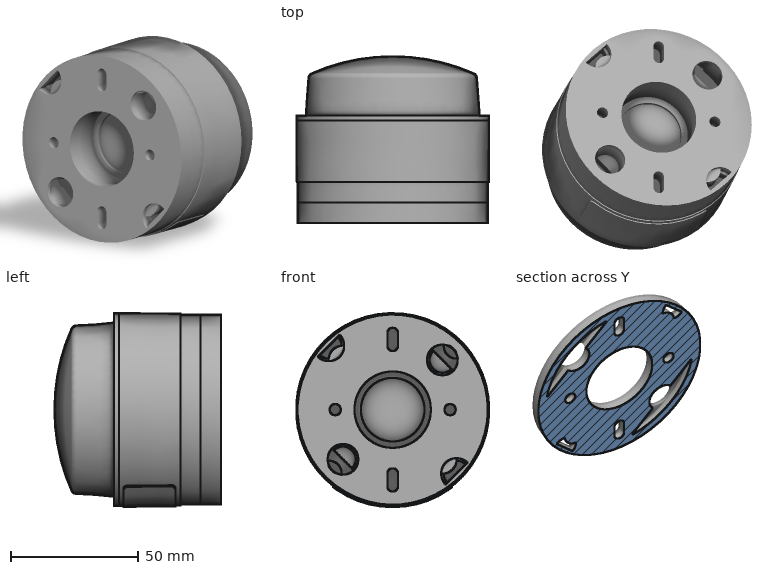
import cadquery as cq
import math


plate_thickness = 8.0
sleeve_start = 2 * plate_thickness
collar_start = 40.1
collar_end = 42.1
neck_end = 42.55
shoulder_y = 58.1
overall_depth = 65.4

plate_radius = 37.3
bore_radius = 15.0
collar_diameter = 75.75
collar_radius = collar_diameter / 2
sleeve_front_radius = 37.7
well_radius = 12.5
well_depth = 1.4
dome_base_radius = 34.1
shoulder_radius = 32.95
shoulder_fillet = 2.3

slot_centre = 27.55
slot_length = 9.1
slot_width = 4.2
pin_hole_offset = 22.5
pin_hole_diameter = 4.4

screw_angles = (45, 225)
half_moon_angles = (135, 315)
screw_offset = 27.55
half_moon_offset = 35.4
head_radius = 6.0
shank_radius = 5.0
face_wall = 1.6
chamber_radius = 33.65
chamber_floor = 11.6
pocket_depth = 1.5
ledge_depth = 3.8
column_radius = 5.6

label_start = 18.0
label_end = 38.2
label_half_angle = 38
label_thickness = 0.4
label_corner = 1.5


def disc(radius, start, end):
    """Cylinder about the Y axis between two depths."""
    return cq.Workplane("XZ", origin=(0, start, 0)).circle(radius).extrude(start - end)


def round_bar(radius, offset, start, end):
    """Cylinder parallel to Y, set off from the axis along +X."""
    return disc(radius, start, end).translate((offset, 0, 0))


def beyond(offset, start, end):
    """Block that holds everything farther along +X than the offset."""
    size = 2 * collar_radius
    block = cq.Workplane("XY").box(size, end - start, size, centered=(False, False, True))
    return block.translate((offset, start, 0))


def at_angle(shape, angle):
    """Turn a shape from the +X direction to an angle measured from +X toward +Z."""
    return shape.rotate((0, 0, 0), (0, 1, 0), -angle)


def chamber(start, end):
    """Circular segment between the flat through the screw centre and the outer wall."""
    return disc(chamber_radius, start, end).intersect(beyond(screw_offset, start, end))


def screw_hole():
    """Round opening, half-conical seat on the inner side, chamber on the outer side."""
    opening = round_bar(head_radius, screw_offset, 0, face_wall)
    seat = (
        cq.Workplane("XZ", origin=(screw_offset, face_wall, 0))
        .circle(head_radius)
        .workplane(offset=face_wall - plate_thickness)
        .circle(shank_radius)
        .loft()
        .cut(beyond(screw_offset, face_wall, plate_thickness))
    )
    return opening.union(seat).union(chamber(face_wall, plate_thickness))


def half_moon():
    """Shallow half-round recess with a ledge and a through part beside a solid round column."""
    outer_side = beyond(half_moon_offset, 0, plate_thickness)
    recess = round_bar(head_radius, half_moon_offset, 0, face_wall)
    ledge_part = round_bar(head_radius, half_moon_offset, face_wall, ledge_depth)
    through_part = round_bar(shank_radius, half_moon_offset, ledge_depth, plate_thickness)
    column = round_bar(column_radius, screw_offset, face_wall, plate_thickness)
    deep_part = ledge_part.union(through_part).cut(column)
    return recess.union(deep_part).cut(outer_side)


def make_base_plate():
    """Mounting plate with its slots, pin holes, screw holes and half-moon recesses."""
    plate = disc(plate_radius, 0, plate_thickness).cut(disc(bore_radius, 0, plate_thickness))
    slots = (
        cq.Workplane("XZ")
        .pushPoints([(0, slot_centre), (0, -slot_centre)])
        .slot2D(slot_length, slot_width, 90)
        .extrude(-plate_thickness)
    )
    plate = plate.cut(slots)
    for side in (-1, 1):
        plate = plate.cut(round_bar(pin_hole_diameter / 2, side * pin_hole_offset, 0, plate_thickness))
    for angle in screw_angles:
        plate = plate.cut(at_angle(screw_hole(), angle))
    for angle in half_moon_angles:
        plate = plate.cut(at_angle(half_moon(), angle))
    return plate


def make_spacer_plate():
    """Ring behind the base plate; the screw chambers end in it, each with a small pocket in its floor."""
    plate = disc(plate_radius, plate_thickness, sleeve_start)
    plate = plate.cut(disc(bore_radius, plate_thickness, sleeve_start))
    pocket_end = chamber_floor + pocket_depth
    pocket = chamber(chamber_floor, pocket_end).intersect(
        round_bar(shank_radius, half_moon_offset, chamber_floor, pocket_end)
    )
    for angle in screw_angles:
        plate = plate.cut(at_angle(chamber(plate_thickness, chamber_floor), angle))
        plate = plate.cut(at_angle(pocket, angle))
    return plate


def sleeve_cone(thickness):
    """Slightly tapered sleeve outline, grown outward by a thickness."""
    return (
        cq.Workplane("XY")
        .moveTo(0, sleeve_start)
        .lineTo(sleeve_front_radius + thickness, sleeve_start)
        .lineTo(collar_radius + thickness, collar_start)
        .lineTo(0, collar_start)
        .close()
        .revolve(360, (0, 0, 0), (0, 1, 0))
    )


def make_sleeve():
    """Solid middle section with a shallow round well facing the plates."""
    return sleeve_cone(0).cut(disc(well_radius, sleeve_start, sleeve_start + well_depth))


def make_label():
    """Thin raised label wrapped on the -Z side of the sleeve."""
    width = 2 * collar_radius * math.sin(math.radians(label_half_angle))
    patch = (
        cq.Workplane("XY")
        .center(0, (label_start + label_end) / 2)
        .rect(width, label_end - label_start)
        .extrude(-2 * collar_radius)
        .edges("|Z")
        .fillet(label_corner)
    )
    return sleeve_cone(label_thickness).cut(sleeve_cone(0)).intersect(patch)


def make_dome():
    """Lens with its collar, a tapered side, a rounded shoulder and a spherical cap."""
    rise = overall_depth - shoulder_y
    sphere_radius = (shoulder_radius**2 + rise**2) / (2 * rise)
    half_radius = shoulder_radius / 2
    mid_cap_y = overall_depth - sphere_radius + math.sqrt(sphere_radius**2 - half_radius**2)
    body = (
        cq.Workplane("XY")
        .moveTo(0, collar_start)
        .lineTo(collar_radius, collar_start)
        .lineTo(collar_radius, collar_end)
        .lineTo(dome_base_radius, collar_end)
        .lineTo(dome_base_radius, neck_end)
        .lineTo(shoulder_radius, shoulder_y)
        .threePointArc((half_radius, mid_cap_y), (0, overall_depth))
        .close()
        .revolve(360, (0, 0, 0), (0, 1, 0))
    )
    shoulder_edge = cq.selectors.BoxSelector(
        (-plate_radius, neck_end, -plate_radius),
        (plate_radius, overall_depth, plate_radius),
        boundingbox=True,
    )
    return body.edges(shoulder_edge).edges(cq.selectors.RadiusNthSelector(0)).fillet(shoulder_fillet)


base_plate = make_base_plate()
spacer_plate = make_spacer_plate()
sleeve = make_sleeve()
label = make_label()
dome = make_dome()

result = cq.Compound.makeCompound(
    [base_plate.val(), spacer_plate.val(), sleeve.val(), label.val(), dome.val()]
)